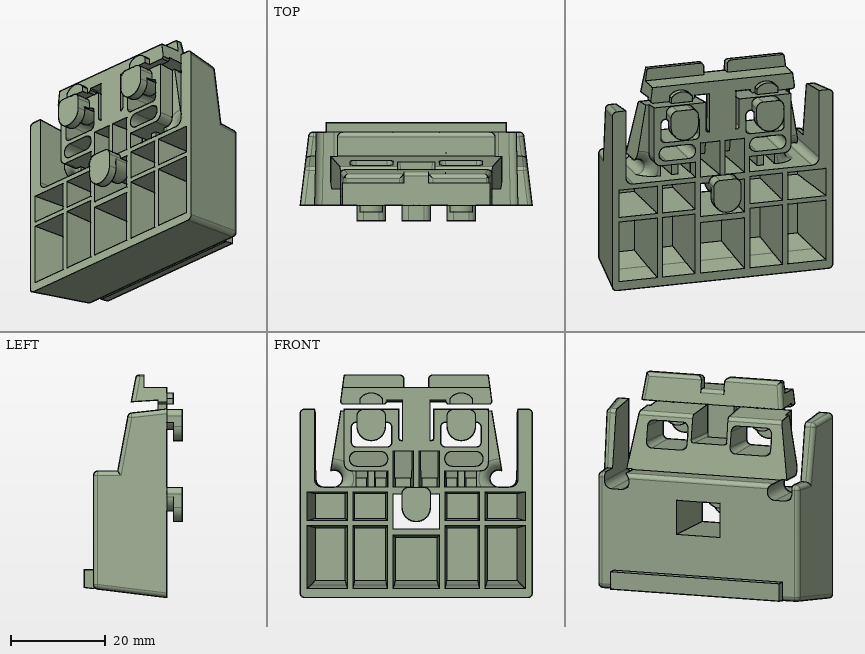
import cadquery as cq
import math

half_width = 24.5
body_depth = 15.46
arm_top = 39.8
shelf_z = 26.75
floor_z = 23.35
wall = 1.45
outer_draft = math.tan(math.radians(7))
top_draft = 0.11
back_slope = 0.185
slope_foot_y = 10.35
edge_radius = 1.0

gap_outer_x = 21.45
gap_draft = 0.022
gap_corner_radius = 1.6
notch_x = 17.35
notch_radius = 1.77
notch_z = floor_z + notch_radius
notch_far_x = notch_x + notch_radius
notch_lip_radius = 2.35
wing_step_y = 3.4
wing_foot_x = 18.05
wing_lean = 0.168

block_half_width = 15.2
block_corner_radius = 1.6
stem_half_width = 2.93
stem_depth = 1.9
slit_outer_x = 3.68
slit_bottom_z = 33.15
slit_draft = 0.035
slit_corner_radius = 0.6

centre_half_width = 4.87
pocket_draft = 0.035
low_z = 1.97
low_bend_y = 6.0
low_front_draft = 0.11
low_back_draft = 0.13

side_hook_x = 9.5
hook_half_width = 3.02
hook_corner_radius = 1.4
hook_reach = 3.28
hook_gap = 1.37
neck_root_y = 3.0

bar_top = 44.35
bar_bottom = 41.65
bar_tab_bottom = 40.85
bar_tab_inner_x = 6.2
bar_tab_chamfer = 0.42
lip_top = 47.0
lip_front_y = 4.75
lip_foot_y = 7.5
lip_foot_z = 41.3
lip_lean = 0.185
lip_gap_half_width = 2.6
lip_round = 0.9
lip_end_round = 0.4
bar_end_x = 16.05
bar_end_lean = 0.135

pad_half_width = 19.0
pad_top = 5.9
pad_back_y = 17.42

through = 60.0


def box(x0, x1, y0, y1, z0, z1):
    return cq.Workplane("XY").box(x1 - x0, y1 - y0, z1 - z0, centered=False).translate((x0, y0, z0))


def plate(sketch, y0, y1):
    """Extrude an outline drawn in X and Z from y0 to y1."""
    return sketch.extrude(y0 - y1).translate((0, y0, 0))


def side_prism(points, half):
    """Prism along X with its outline given in Y and Z."""
    return cq.Workplane("YZ").polyline(points).close().extrude(half, both=True)


def both_sides(shape):
    return shape.union(shape.mirror("YZ"))


def back_y(z):
    """Depth of the leaning upper back at height z."""
    return slope_foot_y - back_slope * (z - shelf_z)


def inner_back_y(z):
    return back_y(z) - wall * math.hypot(1, back_slope)


def make_body():
    """Stepped body with drafted bottom, sides and top, rounded on its outer edges."""
    peak_y = (slope_foot_y - back_slope * (arm_top - shelf_z)) / (1 - back_slope * top_draft)
    profile = [
        (0, 0),
        (body_depth, outer_draft * body_depth),
        (body_depth, shelf_z),
        (slope_foot_y, shelf_z),
        (peak_y, arm_top - top_draft * peak_y),
        (0, arm_top),
    ]
    back_half = half_width - outer_draft * body_depth
    plan = [(-half_width, 0), (half_width, 0), (back_half, body_depth), (-back_half, body_depth)]
    sides = cq.Workplane("XY").polyline(plan).close().extrude(through)
    body = side_prism(profile, half_width).intersect(sides)
    side_edges = body.faces("<X or >X").edges().vals()
    open_face_edges = [edge.hashCode() for edge in body.faces("<Y").edges().vals()]
    side_edges = [edge for edge in side_edges if edge.hashCode() not in open_face_edges]
    back_edges = body.faces(">Y").edges("|X").vals()
    peak_edge = body.edges("|X").edges(
        cq.selectors.BoxSelector((-1, peak_y - 1, arm_top - 2), (1, peak_y + 1, arm_top))
    ).vals()
    return body.newObject(side_edges + back_edges + peak_edge).fillet(edge_radius)


def make_gap():
    """Open space between the right arm and the centre block, with its round notch."""
    clear_z = arm_top + 2
    wing_top_x = wing_foot_x - wing_lean * (clear_z - notch_z - notch_radius)
    outline = [
        (wing_top_x, clear_z),
        (wing_foot_x, notch_z + notch_radius),
        (notch_x, notch_z),
        (notch_x, floor_z),
        (gap_outer_x, floor_z),
        (gap_outer_x, clear_z),
    ]
    gap = plate(cq.Workplane("XZ").polyline(outline).close(), 0, body_depth)
    plan = [(0, 0), (gap_outer_x, 0), (gap_outer_x - gap_draft * body_depth, body_depth), (0, body_depth)]
    gap = gap.intersect(cq.Workplane("XY").polyline(plan).close().extrude(through))
    gap = gap.edges(
        cq.selectors.BoxSelector((gap_outer_x - 1, 0, floor_z - 1), (gap_outer_x + 1, body_depth, floor_z + 1))
    ).fillet(gap_corner_radius)
    notch = plate(cq.Workplane("XZ").center(notch_x, notch_z).circle(notch_radius), 0, body_depth)
    return gap.union(notch)


def make_notch_mouth():
    """Flared mouth of the right notch, kept above the gap floor."""
    mouth_radius = notch_radius + notch_lip_radius
    throat_y = wing_step_y + notch_lip_radius
    bulge = notch_lip_radius * math.sqrt(0.5)
    mouth = (
        cq.Workplane("XY")
        .moveTo(0, wing_step_y)
        .lineTo(mouth_radius, wing_step_y)
        .threePointArc((mouth_radius - bulge, throat_y - bulge), (notch_radius, throat_y))
        .lineTo(0, throat_y)
        .close()
        .revolve(360, (0, 0, 0), (0, 1, 0))
        .translate((notch_x, 0, notch_z))
    )
    return mouth.intersect(box(0, notch_far_x, 0, throat_y, floor_z, arm_top))


def make_front_recess():
    """Space in front of the wings and below the centre block, right and left."""
    slot_end_x = 6.0
    recess = box(-notch_far_x, notch_far_x, 0, wing_step_y, floor_z, arm_top + 1)
    block = box(-block_half_width, block_half_width, 0, wing_step_y, shelf_z, arm_top + 1)
    block = block.edges("|Y and <Z").fillet(block_corner_radius)
    core = box(-slot_end_x, slot_end_x, 0, wing_step_y, floor_z, shelf_z)
    return recess.cut(block).cut(core)


def make_inner_space():
    """Space up to the inside of the back wall; limits the depth of every pocket."""
    ledge_z = shelf_z - wall
    inner_depth = body_depth - wall
    profile = [
        (0, 0),
        (inner_depth, 0),
        (inner_depth, ledge_z),
        (inner_back_y(ledge_z), ledge_z),
        (inner_back_y(arm_top), arm_top),
        (0, arm_top),
    ]
    return side_prism(profile, half_width)


def tapered_pocket(x0, x1, z0, z1, left=0.0, right=0.0, bottom=0.0, top=0.0):
    """Rectangular pocket; each wall moves inward by its draft per mm of depth."""
    depth = body_depth
    plan = [(x0, 0), (x1, 0), (x1 - right * depth, depth), (x0 + left * depth, depth)]
    profile = [(0, z0), (0, z1), (depth, z1 - top * depth), (depth, z0 + bottom * depth)]
    return cq.Workplane("XY").polyline(plan).close().extrude(through).intersect(side_prism(profile, half_width))


def low_pocket(x0, x1, z1, left, right):
    """Pocket of the lowest row; its floor steepens part of the way in."""
    bend_z = low_z + low_front_draft * low_bend_y
    floor = [
        (0, low_z),
        (0, z1),
        (body_depth, z1),
        (body_depth, bend_z + low_back_draft * (body_depth - low_bend_y)),
        (low_bend_y, bend_z),
    ]
    pocket = tapered_pocket(x0, x1, low_z, z1, left, right, top=pocket_draft)
    return pocket.intersect(side_prism(floor, half_width))


def make_right_pockets():
    """All blind pockets right of the centre plane."""
    draft = pocket_draft
    small_draft = 0.025
    low_top_z = 15.22
    high_z0, high_z1 = 16.24, 22.3
    inner_x0, inner_x1 = 6.1, 13.34
    outer_x0, outer_x1 = 14.5, 23.0
    pockets = [
        low_pocket(inner_x0, inner_x1, low_top_z, small_draft, small_draft),
        tapered_pocket(inner_x0, inner_x1, high_z0, high_z1, small_draft, small_draft, draft, small_draft),
        low_pocket(outer_x0, outer_x1, low_top_z, draft, outer_draft),
        tapered_pocket(outer_x0, outer_x1, high_z0, high_z1, draft, outer_draft, draft, small_draft),
        tapered_pocket(0.55, centre_half_width, floor_z, 30.9, 0.045, draft),
        tapered_pocket(6.0, 8.9, floor_z, shelf_z, small_draft, small_draft),
        tapered_pocket(10.1, 12.66, floor_z, shelf_z, small_draft),
    ]
    slot_x, slot_z = 10.05, 29.3
    slot_length, slot_width = 8.1, 3.15
    slot = cq.Workplane("XZ").center(slot_x, slot_z).slot2D(slot_length, slot_width)
    pockets.append(plate(slot, 0, body_depth))
    merged = pockets[0]
    for pocket in pockets[1:]:
        merged = merged.union(pocket)
    return merged


def make_windows():
    """Openings that pass through the back: two hook windows, the centre window and the stem space."""
    window_draft_angle = 2.0
    window_x, window_z = 9.42, 34.4
    window_width, window_height, window_radius = 8.5, 5.2, 1.0
    side = (
        cq.Workplane("XZ")
        .sketch().rect(window_width, window_height).vertices().fillet(window_radius).finalize()
        .extrude(-body_depth, taper=-window_draft_angle)
        .translate((window_x, 0, window_z))
    )
    centre = box(-centre_half_width, centre_half_width, 0, body_depth, 14.54, 21.86)
    far_x = slit_outer_x + slit_draft * body_depth
    plan = [(-slit_outer_x, 0), (slit_outer_x, 0), (far_x, body_depth), (-far_x, body_depth)]
    stem_space = cq.Workplane("XY").polyline(plan).close().extrude(arm_top + 1 - slit_bottom_z)
    stem_space = stem_space.edges("|Y or <Z").edges("<X or >X").edges("<Z").fillet(slit_corner_radius)
    stem_space = stem_space.translate((0, 0, slit_bottom_z))
    return both_sides(side).union(centre).union(stem_space)


def d_outline(x, bottom_z, top_z):
    """Outline with a flat, corner-rounded top and a half-round bottom."""
    mid_z = bottom_z + hook_half_width
    half, radius = hook_half_width, hook_corner_radius
    return (
        cq.Workplane("XZ")
        .moveTo(x - half, mid_z)
        .threePointArc((x, bottom_z), (x + half, mid_z))
        .lineTo(x + half, top_z - radius)
        .radiusArc((x + half - radius, top_z), -radius)
        .lineTo(x - half + radius, top_z)
        .radiusArc((x - half, top_z - radius), -radius)
        .close()
    )


def make_centre_hook():
    bottom_z, top_z, neck_bottom_z = 16.03, 23.25, 18.27
    hook = plate(d_outline(0, bottom_z, top_z), -hook_reach, -hook_gap)
    return hook.union(plate(d_outline(0, neck_bottom_z, top_z), -hook_gap, neck_root_y))


def make_side_hook():
    """Right upper hook; below the window's top edge its neck ends in a shallow arc."""
    bottom_z, top_z = 33.1, 39.7
    neck_side_z, neck_bottom_z = 37.0, 35.45
    x = side_hook_x
    neck_half = 2.6
    hook = plate(d_outline(x, bottom_z, top_z), -hook_reach, -hook_gap)
    root = plate(d_outline(x, bottom_z, top_z), -hook_gap, 0)
    root = root.intersect(box(0, half_width, -hook_gap, 0, neck_side_z, top_z))
    neck_arc = (
        cq.Workplane("XZ")
        .moveTo(x - neck_half, neck_side_z)
        .threePointArc((x, neck_bottom_z), (x + neck_half, neck_side_z))
        .lineTo(x + neck_half, neck_side_z + 1)
        .lineTo(x - neck_half, neck_side_z + 1)
        .close()
    )
    return hook.union(root).union(plate(neck_arc, -hook_gap, neck_root_y))


def make_latch_bar():
    """Bar on top of the stem, with two lips, two lower tabs and two thumb bumps."""
    lip_top_y = lip_foot_y - lip_lean * (lip_top - lip_foot_z)
    profile = [
        (0, bar_bottom),
        (stem_depth, bar_bottom),
        (lip_foot_y, lip_foot_z),
        (lip_top_y, lip_top),
        (lip_front_y, lip_top),
        (lip_front_y, bar_top),
        (0, bar_top),
    ]
    end_top_x = bar_end_x - bar_end_lean * (lip_top - bar_tab_bottom)
    ends = [
        (-bar_end_x, bar_tab_bottom),
        (bar_end_x, bar_tab_bottom),
        (end_top_x, lip_top),
        (-end_top_x, lip_top),
    ]
    bar = side_prism(profile, half_width)
    end_faces = plate(cq.Workplane("XZ").polyline(ends).close(), 0, body_depth)
    bar = bar.intersect(end_faces)
    back_face = bar.faces(cq.selectors.BoxSelector((-1, 6, 43), (1, 8, 45)))
    bar = bar.newObject(back_face.edges().edges("not <Z").vals()).fillet(lip_round)
    bar = bar.intersect(end_faces.faces(">Z").edges("|Y").fillet(lip_end_round))

    gap_half = lip_gap_half_width
    saddle_y = lip_foot_y - lip_lean * (bar_top - lip_foot_z)
    core = side_prism(
        [(0, lip_foot_z), (lip_foot_y, lip_foot_z), (saddle_y, bar_top), (0, bar_top)], half_width
    )
    core = core.faces(">Z").edges(">Y").fillet(lip_round)
    gap_outline = (
        cq.Workplane("XZ")
        .moveTo(-gap_half, lip_foot_z)
        .lineTo(gap_half, lip_foot_z)
        .lineTo(gap_half, lip_top - lip_round)
        .radiusArc((gap_half + lip_round, lip_top), lip_round)
        .lineTo(-gap_half - lip_round, lip_top)
        .radiusArc((-gap_half, lip_top - lip_round), lip_round)
        .close()
    )
    bar = bar.cut(plate(gap_outline, 0, body_depth).cut(core))

    tab_outline = [
        (bar_tab_inner_x, bar_bottom),
        (bar_tab_inner_x, bar_tab_bottom + bar_tab_chamfer),
        (bar_tab_inner_x + bar_tab_chamfer, bar_tab_bottom),
        (bar_end_x - bar_tab_chamfer, bar_tab_bottom),
        (bar_end_x - bar_end_lean * bar_tab_chamfer, bar_tab_bottom + bar_tab_chamfer),
        (bar_end_x - bar_end_lean * (bar_bottom - bar_tab_bottom), bar_bottom),
    ]
    tab = plate(cq.Workplane("XZ").polyline(tab_outline).close(), 0, stem_depth)

    bump_half, bump_side_z, bump_top_z = 2.35, 42.0, 43.2
    bump_outline = (
        cq.Workplane("XZ")
        .moveTo(side_hook_x - bump_half, bar_tab_bottom)
        .lineTo(side_hook_x - bump_half, bump_side_z)
        .threePointArc((side_hook_x, bump_top_z), (side_hook_x + bump_half, bump_side_z))
        .lineTo(side_hook_x + bump_half, bar_tab_bottom)
        .close()
    )
    bump = plate(bump_outline, -hook_gap, 0)
    stem = box(-stem_half_width, stem_half_width, 0, stem_depth, slit_bottom_z, bar_bottom)
    return bar.union(both_sides(tab)).union(both_sides(bump)).union(stem)


def make_pad():
    """Foot pad; its underside continues the drafted bottom of the body."""
    root_y = body_depth - wall
    profile = [
        (root_y, outer_draft * body_depth + edge_radius),
        (body_depth, outer_draft * body_depth),
        (pad_back_y, outer_draft * pad_back_y),
        (pad_back_y, pad_top),
        (root_y, pad_top),
    ]
    return side_prism(profile, pad_half_width)


pockets = both_sides(make_right_pockets())
pockets = pockets.union(low_pocket(-centre_half_width, centre_half_width, 13.2, pocket_draft, pocket_draft))
pockets = pockets.intersect(make_inner_space())

result = (
    make_body()
    .cut(both_sides(make_gap()))
    .cut(make_front_recess())
    .cut(both_sides(make_notch_mouth()))
    .union(make_pad())
    .cut(pockets)
    .cut(make_windows())
    .union(make_latch_bar())
    .union(both_sides(make_side_hook()))
    .union(make_centre_hook())
)